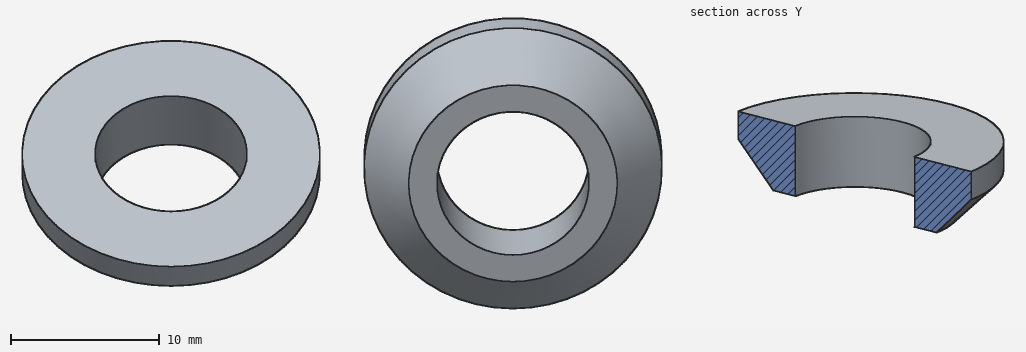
import cadquery as cq

outer_diameter = 20.0
bore_diameter = 10.2
total_height = 5.0
rim_height = 2.0

taper_height = total_height - rim_height
outer_radius = outer_diameter / 2
bottom_radius = outer_radius - taper_height
bore_radius = bore_diameter / 2

half_section = (
    cq.Workplane("XZ")
    .moveTo(bore_radius, 0)
    .lineTo(bottom_radius, 0)
    .lineTo(outer_radius, taper_height)
    .lineTo(outer_radius, total_height)
    .lineTo(bore_radius, total_height)
    .close()
)

result = half_section.revolve(360, (0, 0, 0), (0, 1, 0))